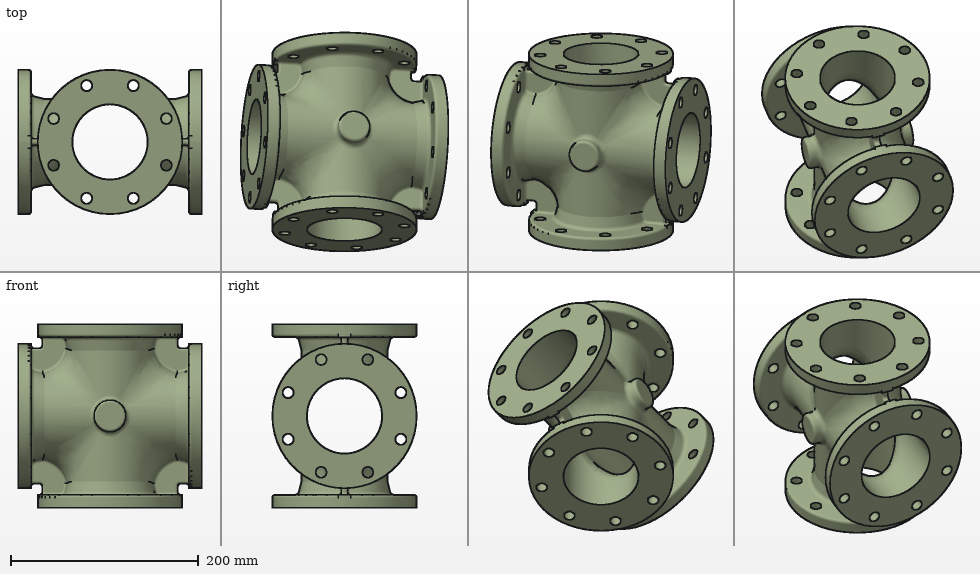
import cadquery as cq
face_distance = 98.0
bore_radius = 40.0
tube_radius = 46.0
crotch_radius = 32.0
bore_crotch_radius = 25.0
flange_radius = 77.0
flange_thickness = 13.9
flange_edge_radius = 3.0
blend_radius = 5.0

neck_start = 70.0
neck_lead = 3.0
neck_end_radius = 49.5

bolt_count = 8
bolt_circle_radius = 65.0
bolt_hole_diameter = 11.5

web_thickness = 7.0
web_edge = 72.3
web_root = 43.0
web_bite = 1.0
web_fillet = 3.0

boss_radius = 17.0
boss_height = 58.0
boss_edge_radius = 3.0

edge_margin = 0.05
overrun = 1.0
crown_spot_radius = 2.0

flange_back = face_distance - flange_thickness
space_size = 4 * face_distance
opening_angles = [0, 90, 180, 270]


def turned(shape, angle):
    """Turn a shape about the Y axis."""
    return shape.rotate((0, 0, 0), (0, 1, 0), angle)


def back_half_space():
    """Block covering the +Y half of space."""
    return cq.Workplane("XY").box(space_size, space_size, space_size, centered=(True, False, True))


def blended_cross(radius, crotch, pole_radius, pole_height, half_length):
    """Two equal crossing cylinders with a stub on each Y pole and blended crotches."""
    upright = cq.Workplane("XY").circle(radius).extrude(half_length, both=True)
    level = cq.Workplane("YZ").circle(radius).extrude(half_length, both=True)
    stubs = cq.Workplane("XZ").circle(pole_radius).extrude(pole_height, both=True)
    cross = upright.union(level).union(stubs)
    return cross.edges("%ELLIPSE").fillet(crotch)


def outer_cross():
    """Tube cross with a rounded boss at the front and back."""
    cross = blended_cross(tube_radius, crotch_radius, boss_radius, boss_height, flange_back)
    for side in ("<Y", ">Y"):
        cross = cross.faces(side).edges().fillet(boss_edge_radius)
    reach = boss_radius + overrun
    around_feet = cq.selectors.BoxSelector(
        (-reach, -tube_radius, -reach),
        (reach, tube_radius, reach),
    )
    return cross.edges(around_feet).fillet(blend_radius)


def flanged_neck():
    """Flange with its flared neck about Z, its rim left square where the webs arrive."""
    outline = [
        (0, neck_start - neck_lead),
        (tube_radius, neck_start - neck_lead),
        (tube_radius, neck_start),
        (neck_end_radius, flange_back),
        (flange_radius, flange_back),
        (flange_radius, face_distance),
        (0, face_distance),
    ]
    neck = cq.Workplane("XZ").polyline(outline).close().revolve(360, (0, 0, 0), (0, 1, 0))
    reach = flange_radius + overrun
    at_flange_back = cq.selectors.BoxSelector(
        (-reach, -reach, flange_back - edge_margin),
        (reach, reach, flange_back + edge_margin),
    )
    root_and_rim = neck.edges("%CIRCLE").edges(at_flange_back)
    neck = root_and_rim.edges(cq.selectors.RadiusNthSelector(1)).fillet(flange_edge_radius)
    root = neck.edges("%CIRCLE").edges(at_flange_back).edges(cq.selectors.RadiusNthSelector(0))
    neck = root.fillet(blend_radius)

    square_rim = (
        cq.Workplane("XY")
        .workplane(offset=flange_back)
        .circle(flange_radius)
        .extrude(flange_edge_radius + overrun)
    )
    web_band_width = web_thickness + 2 * web_fillet
    web_band = cq.Workplane("XY").box(space_size, web_band_width, space_size)
    return neck.union(square_rim.intersect(web_band))


def corner_web():
    """L-shaped plate on the XZ plane between two flanges, with rounded free edges."""
    web_end = flange_back + web_bite
    outline = [
        (web_root, web_root),
        (web_end, web_root),
        (web_end, web_edge),
        (web_edge, web_edge),
        (web_edge, web_end),
        (web_root, web_end),
    ]
    web = cq.Workplane("XZ").polyline(outline).close().extrude(web_thickness / 2, both=True)
    at_corner = cq.selectors.NearestToPointSelector((web_edge, 0, web_edge))
    web = web.edges("|Y").edges(at_corner).fillet(web_fillet)
    free_edges = cq.selectors.BoxSelector(
        (web_edge - overrun, -web_thickness, web_edge - overrun),
        (web_end - edge_margin, web_thickness, web_end - edge_margin),
    )
    return web.edges("#Y").edges(free_edges).fillet(web_fillet)


def is_web_foot(edge):
    """True for an edge where a web meets the tubes, necks or flanges."""
    center = edge.Center()
    near = min(abs(center.x), abs(center.z))
    far = max(abs(center.x), abs(center.z))
    beside_web = edge_margin < center.y < web_thickness / 2 + edge_margin
    in_corner = web_root < near < web_edge + web_fillet / 6 and far < flange_back + edge_margin
    on_free_edge = near > web_edge - web_fillet - overrun and far < flange_back - edge_margin
    return beside_web and in_corner and not on_free_edge


def bores():
    """Crossing bores with blended crotches, kept within the bore radius at the crowns."""
    cross = blended_cross(
        bore_radius,
        bore_crotch_radius,
        crown_spot_radius,
        bore_radius + overrun,
        face_distance + overrun,
    )
    crown_slab = cq.Workplane("XY").box(space_size, 2 * bore_radius, space_size)
    return cross.intersect(crown_slab)


def bolt_holes():
    """Bolt holes of the top flange, straddling the X and Y axes."""
    first_angle = 180 / bolt_count
    return (
        cq.Workplane("XY")
        .workplane(offset=flange_back - overrun)
        .polarArray(bolt_circle_radius, first_angle, 360, bolt_count)
        .circle(bolt_hole_diameter / 2)
        .extrude(flange_thickness + 2 * overrun)
    )


def half_casting():
    """The +Y half of the finished casting."""
    half_space = back_half_space()
    half = outer_cross().intersect(half_space)
    neck = flanged_neck().intersect(half_space)
    for angle in opening_angles:
        half = half.union(turned(neck, angle))

    web = corner_web().intersect(half_space)
    for angle in opening_angles:
        half = half.union(turned(web, angle))
    web_feet = [edge for edge in half.edges().vals() if is_web_foot(edge)]
    half = half.newObject(web_feet).fillet(web_fillet)

    half = half.cut(bores().intersect(half_space))
    holes = bolt_holes()
    for angle in opening_angles:
        half = half.cut(turned(holes, angle))
    return half


half = half_casting()
result = half.union(half.mirror("XZ"), clean=False)